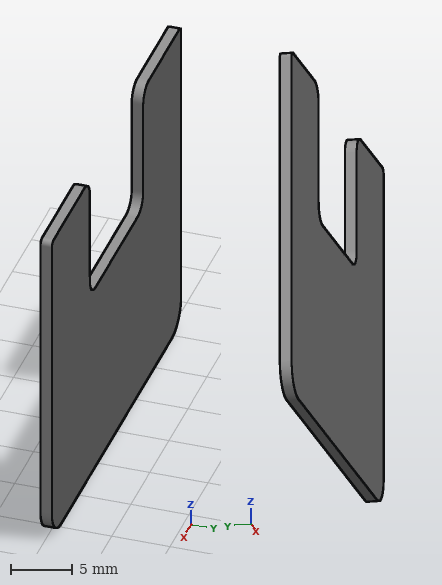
import cadquery as cq

width = 34.0
height = 29.0
thickness = 1.0

notch_width = 14.0
notch_depth = 11.5

bottom_corner_radius = 2.5
top_corner_radius = 0.5
notch_corner_radius = 1.5

select_margin = 0.1


def round_corners(body, half_width, z, radius):
    """Round the through-thickness edges at x = -half_width and +half_width, height z."""
    for x in (-half_width, half_width):
        low = (x - select_margin, -thickness, z - select_margin)
        high = (x + select_margin, thickness, z + select_margin)
        corner = cq.selectors.BoxSelector(low, high)
        body = body.edges("|Y").edges(corner).fillet(radius)
    return body


top_z = height / 2
bottom_z = -height / 2
notch_floor_z = top_z - notch_depth

plate = cq.Workplane("XY").box(width, thickness, height)
notch = (
    cq.Workplane("XY")
    .box(notch_width, thickness, notch_depth)
    .translate((0, 0, top_z - notch_depth / 2))
)
body = plate.cut(notch)

body = round_corners(body, width / 2, bottom_z, bottom_corner_radius)
body = round_corners(body, width / 2, top_z, top_corner_radius)
body = round_corners(body, notch_width / 2, top_z, notch_corner_radius)
body = round_corners(body, notch_width / 2, notch_floor_z, notch_corner_radius)

result = body